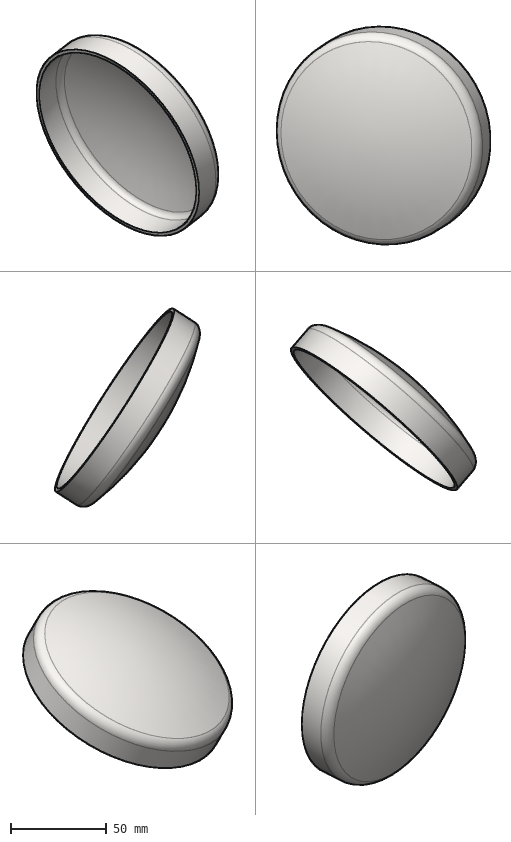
import cadquery as cq
import math

outer_diameter = 114.3
overall_height = 28.0
wall = 2.0
skirt_height = 13.0
knuckle_radius = 6.0

outer_radius = outer_diameter / 2
knuckle_centre_radius = outer_radius - knuckle_radius
crown_rise = overall_height - skirt_height
dome_radius = (knuckle_centre_radius**2 + crown_rise**2 - knuckle_radius**2) / (
    2 * (crown_rise - knuckle_radius)
)
dome_centre_height = overall_height - dome_radius

tangent_angle = math.atan2(skirt_height - dome_centre_height, knuckle_centre_radius)


def on_knuckle(radius, angle):
    """Point (radial, axial) on a circle about the knuckle centre."""
    return (
        knuckle_centre_radius + radius * math.cos(angle),
        skirt_height + radius * math.sin(angle),
    )


def on_dome(radius, angle):
    """Point (radial, axial) on a circle about the dome centre."""
    return (radius * math.cos(angle), dome_centre_height + radius * math.sin(angle))


def solid_cap(inset):
    """Cap-shaped solid lying a constant distance inside the outer surface."""
    corner = knuckle_radius - inset
    dome = dome_radius - inset
    dome_middle_angle = (tangent_angle + math.pi / 2) / 2
    profile = (
        cq.Workplane("XY")
        .moveTo(0, 0)
        .lineTo(outer_radius - inset, 0)
        .lineTo(outer_radius - inset, skirt_height)
        .threePointArc(on_knuckle(corner, tangent_angle / 2), on_knuckle(corner, tangent_angle))
        .threePointArc(on_dome(dome, dome_middle_angle), (0, overall_height - inset))
        .close()
    )
    return profile.revolve(360, (0, 0, 0), (0, 1, 0))


result = solid_cap(0).cut(solid_cap(wall))